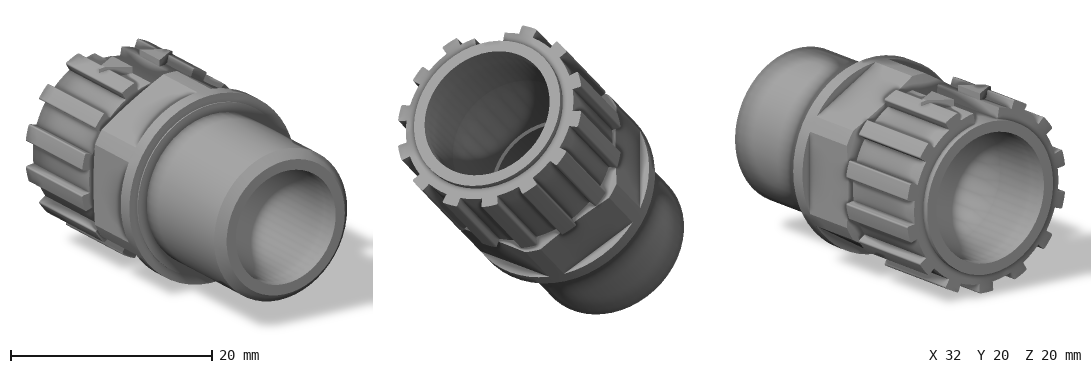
import cadquery as cq
import math


total_length = 32.0
nut_start = 0.65
nut_length = 9.95
hex_start = 11.05
flange_start = 17.57
flange_end = 19.07
step_length = 0.13
spigot_start = flange_end + step_length

outer_radius = 20.0 / 2
sleeve_radius = 15.8 / 2
spigot_radius = 16.0 / 2
spigot_chamfer = 0.9
step_radius = 9.05

socket_mouth_radius = 13.5 / 2
socket_end_radius = 12.8 / 2
socket_straight_length = 7.15
socket_depth = 16.0
bore_radius = 12.0 / 2

hex_across_flats = 18.08
hex_chamfer_angle = 15.0

groove_count = 14
groove_pitch = 360 / groove_count
groove_width_angle = 0.6 * groove_pitch
gap_width_angle = 0.8 * groove_pitch
groove_floor_radius = 9.05
rib_edge_fillet = 0.15
cutter_clearance = 0.32

arrow_center = 5.57
arrow_half_width = 1.8
arrow_base_offset = 1.63
arrow_bottom = 8.65
arrow_tip_offset = 4.4
arrow_top = 9.6
arrow_trim_radius = 10.37


def cylinder(radius, start, end):
    """Solid cylinder on the X axis."""
    return cq.Workplane("YZ").workplane(offset=start).circle(radius).extrude(end - start)


def ring_sector(inner_radius, width_angle, center_angle):
    """Cutter over the nut's length, from inner_radius outward; angles run from +Y towards +Z."""
    cutter_radius = outer_radius + cutter_clearance

    def at(radius, angle):
        turn = math.radians(angle)
        return (radius * math.cos(turn), radius * math.sin(turn))

    first = center_angle - width_angle / 2
    last = center_angle + width_angle / 2
    return (
        cq.Workplane("YZ").workplane(offset=nut_start)
        .moveTo(*at(inner_radius, first))
        .lineTo(*at(cutter_radius, first))
        .threePointArc(at(cutter_radius, center_angle), at(cutter_radius, last))
        .lineTo(*at(inner_radius, last))
        .threePointArc(at(inner_radius, center_angle), at(inner_radius, first))
        .close()
        .extrude(nut_length)
    )


def make_nut():
    """Ribbed ring with rounded rib crests and the wide gap cut down to the sleeve."""
    nut = cylinder(outer_radius, nut_start, nut_start + nut_length)
    for index in range(groove_count):
        nut = nut.cut(ring_sector(groove_floor_radius, groove_width_angle, index * groove_pitch))

    mid_groove_radius = (outer_radius + groove_floor_radius) / 2

    def is_rib_crest(edge):
        return math.hypot(edge.Center().y, edge.Center().z) > mid_groove_radius

    nut = nut.edges("|X").filter(is_rib_crest).fillet(rib_edge_fillet)
    return nut.cut(ring_sector(sleeve_radius, gap_width_angle, 90))


def make_arrow(side):
    """Flat-topped arrow pointing to +Y (side = 1) or -Y (side = -1), its tip rounded off by a cylinder."""
    arrow = (
        cq.Workplane("XY").workplane(offset=arrow_bottom)
        .polyline([
            (arrow_center - arrow_half_width, side * arrow_base_offset),
            (arrow_center + arrow_half_width, side * arrow_base_offset),
            (arrow_center, side * arrow_tip_offset),
        ])
        .close()
        .extrude(arrow_top - arrow_bottom)
    )
    return arrow.intersect(cylinder(arrow_trim_radius, nut_start, nut_start + nut_length))


def make_hexagon():
    """Hexagon with flats facing +Y and -Y, corners turned to the flange radius, front edge coned."""
    across_corners = hex_across_flats / math.cos(math.radians(30))
    prism = (
        cq.Workplane("YZ").workplane(offset=hex_start)
        .transformed(rotate=(0, 0, 90))
        .polygon(6, across_corners)
        .extrude(flange_start - hex_start)
    )
    cone_length = (outer_radius - sleeve_radius) * math.tan(math.radians(hex_chamfer_angle))
    envelope = (
        cq.Workplane("XY")
        .polyline([
            (hex_start, 0),
            (hex_start, sleeve_radius),
            (hex_start + cone_length, outer_radius),
            (flange_start, outer_radius),
            (flange_start, 0),
        ])
        .close()
        .revolve(360, (0, 0, 0), (1, 0, 0))
    )
    return prism.intersect(envelope)


def make_bore():
    socket = (
        cq.Workplane("XY")
        .polyline([
            (0, 0),
            (0, socket_mouth_radius),
            (socket_straight_length, socket_mouth_radius),
            (socket_depth, socket_end_radius),
            (socket_depth, 0),
        ])
        .close()
        .revolve(360, (0, 0, 0), (1, 0, 0))
    )
    return socket.union(cylinder(bore_radius, 0, total_length))


sleeve = cylinder(sleeve_radius, 0, flange_start)
flange = cylinder(outer_radius, flange_start, flange_end)
step = cylinder(step_radius, flange_end, spigot_start)
spigot = cylinder(spigot_radius, spigot_start, total_length).faces(">X").chamfer(spigot_chamfer)

result = sleeve.union(make_nut())
for side in (1, -1):
    result = result.union(make_arrow(side))
result = result.union(make_hexagon()).union(flange).union(step).union(spigot).cut(make_bore())